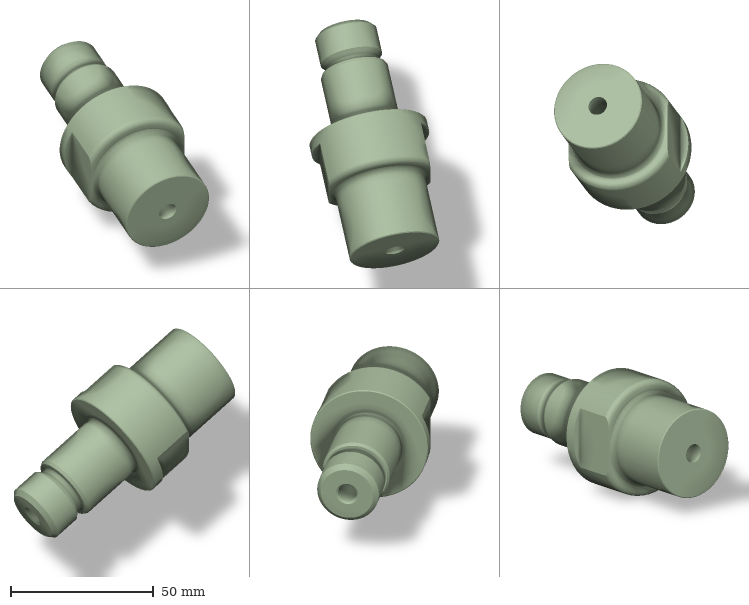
import cadquery as cq
import math

total_length = 84.0
flange_radius = 21.0
body_radius = 16.05
collar_radius = 12.0
nose_radius = 11.0
bore_radius = 3.4

nose_chamfer = 1.7
neck_radius = 9.3
neck_start = 11.0
neck_end = 15.0
neck_taper_length = 2.0
neck_taper_fillet = 0.7
neck_corner_fillet = 0.4

collar_chamfer_length = 1.2
collar_chamfer_height = 0.7
relief_start = 36.45
relief_taper_length = 1.35
relief_depth = 0.25
relief_corner_radius = 0.75
relief_face_radius = 13.7
relief_face_depth = 0.2

flange_start = 39.1
flange_end = 59.05
flange_chamfer = 0.3
flange_round = 2.0
flat_start = 43.35
flat_distance = 18.1

body_root_length = 2.0
body_root_height = 1.2
body_chamfer = 0.3
bore_chamfer = 0.6


def turned_blank():
    """Revolve the outer profile, running from the nose to the rear end."""
    neck_corner = neck_end - neck_corner_fillet
    taper_angle = math.atan2(nose_radius - neck_radius, neck_taper_length)
    taper_foot = neck_start + neck_taper_length
    tangent_length = neck_taper_fillet * math.tan(taper_angle / 2)
    blend_end = taper_foot + tangent_length
    blend_start = (
        taper_foot - tangent_length * math.cos(taper_angle),
        neck_radius + tangent_length * math.sin(taper_angle),
    )
    blend_middle = (
        blend_end - neck_taper_fillet * math.sin(taper_angle / 2),
        neck_radius + neck_taper_fillet * (1 - math.cos(taper_angle / 2)),
    )

    relief_radius = collar_radius - relief_depth
    relief_bottom = flange_start + relief_face_depth
    diagonal = math.sqrt(0.5)

    root_radius = (body_root_length**2 + body_root_height**2) / (2 * body_root_height)
    root_end = flange_end + body_root_length
    root_half_angle = math.asin(body_root_length / root_radius) / 2
    root_middle = (
        root_end - root_radius * math.sin(root_half_angle),
        body_radius + root_radius * (1 - math.cos(root_half_angle)),
    )

    profile = (
        cq.Workplane("XY")
        .lineTo(0, nose_radius - nose_chamfer)
        .lineTo(nose_chamfer, nose_radius)
        .lineTo(neck_start, nose_radius)
        .lineTo(*blend_start)
        .threePointArc(blend_middle, (blend_end, neck_radius))
        .lineTo(neck_corner, neck_radius)
        .threePointArc(
            (
                neck_corner + neck_corner_fillet * diagonal,
                neck_radius + neck_corner_fillet * (1 - diagonal),
            ),
            (neck_end, neck_radius + neck_corner_fillet),
        )
        .lineTo(neck_end, collar_radius - collar_chamfer_height)
        .lineTo(neck_end + collar_chamfer_length, collar_radius)
        .lineTo(relief_start, collar_radius)
        .lineTo(relief_start + relief_taper_length, relief_radius)
        .lineTo(relief_bottom - relief_corner_radius, relief_radius)
        .threePointArc(
            (
                relief_bottom - relief_corner_radius * (1 - diagonal),
                relief_radius + relief_corner_radius * (1 - diagonal),
            ),
            (relief_bottom, relief_radius + relief_corner_radius),
        )
        .lineTo(flange_start, relief_face_radius)
        .lineTo(flange_start, flange_radius - flange_chamfer)
        .lineTo(flange_start + flange_chamfer, flange_radius)
        .lineTo(flange_end - flange_round, flange_radius)
        .threePointArc(
            (
                flange_end - flange_round * (1 - diagonal),
                flange_radius - flange_round * (1 - diagonal),
            ),
            (flange_end, flange_radius - flange_round),
        )
        .lineTo(flange_end, body_radius + body_root_height)
        .threePointArc(root_middle, (root_end, body_radius))
        .lineTo(total_length - body_chamfer, body_radius)
        .lineTo(total_length, body_radius - body_chamfer)
        .lineTo(total_length, 0)
        .close()
    )
    return profile.revolve(360, (0, 0, 0), (1, 0, 0))


def bore():
    """Through bore, countersunk at the nose."""
    profile = (
        cq.Workplane("XY")
        .lineTo(0, bore_radius + bore_chamfer)
        .lineTo(bore_chamfer, bore_radius)
        .lineTo(total_length, bore_radius)
        .lineTo(total_length, 0)
        .close()
    )
    return profile.revolve(360, (0, 0, 0), (1, 0, 0))


def flat_cutter(side):
    """Block that cuts one wrench flat; side is -1 or +1 along Y."""
    depth = flange_radius - flat_distance
    return cq.Workplane("XY").box(
        flange_end - flat_start, depth, 2 * flange_radius
    ).translate(((flat_start + flange_end) / 2, side * (flat_distance + depth / 2), 0))


result = turned_blank().cut(bore())
for side in (-1, 1):
    result = result.cut(flat_cutter(side))